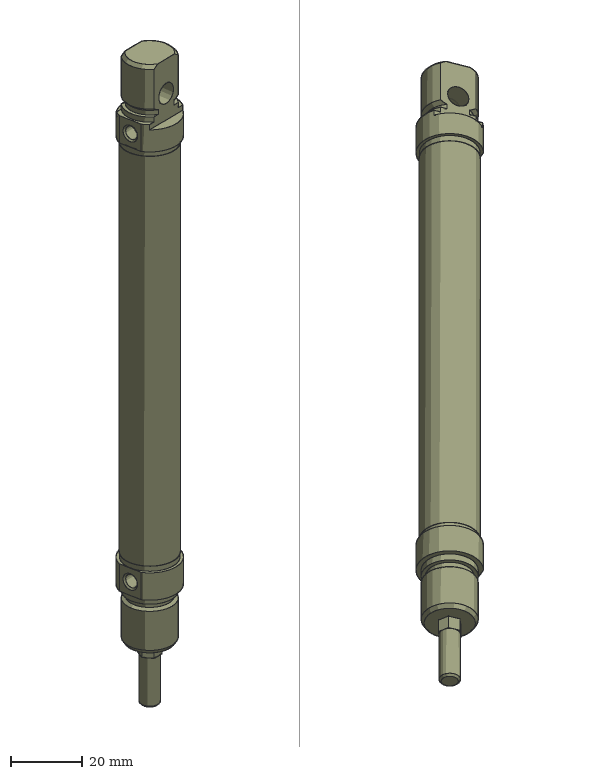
import cadquery as cq
import math

HEX_START = 16.0
NOSE_BOTTOM = 20.0
GROOVE_BOTTOM = 33.9
GROOVE_TOP = 36.2
FRONT_COLLAR_BOTTOM = 38.2
COLLAR_HEIGHT = 8.8
BARREL_BOTTOM = 48.7
BARREL_TOP = 180.4
REAR_COLLAR_BOTTOM = 182.2
NECK_BOTTOM = 192.7
NECK_TOP = 194.2
TOTAL_LENGTH = 209.0

FRONT_COLLAR_TOP = FRONT_COLLAR_BOTTOM + COLLAR_HEIGHT
REAR_COLLAR_TOP = REAR_COLLAR_BOTTOM + COLLAR_HEIGHT

COLLAR_RADIUS = 19.0 / 2
BARREL_RADIUS = 17.3 / 2
SHOULDER_RADIUS = 17.1 / 2
STEM_RADIUS = 16.0 / 2
UNDERCUT_RADIUS = 13.8 / 2
LUG_CHAMFER = 1.0
GROOVE_CONE_HEIGHT = 0.6
NOSE_CHAMFER_WIDTH = 0.8
NOSE_CHAMFER_HEIGHT = 1.3

ROD_DIAMETER = 6.0
ROD_CHAMFER = 0.6

COLLAR_DEPTH = 18.2
PORT_FLAT_Y = COLLAR_RADIUS - COLLAR_DEPTH
PORT_DIAMETER = 4.2
PORT_RIM_DIAMETER = 5.2
REAR_PORT_DEPTH = 4.2
FRONT_PORT_DEPTH = -PORT_FLAT_Y
DRILL_POINT_ANGLE = 118

LUG_WIDTH = 12.0
LUG_FLAT_BOTTOM = 189.4
LUG_HOLE_DIAMETER = 6.5
LUG_HOLE_Z = 198.0


def revolve_profile(points):
    """Turn (radius, z) points into a solid of revolution about Z."""
    return cq.Workplane("XZ").polyline(points).close().revolve(360, (0, 0), (0, 1))


def hex_bar(bottom, top):
    """Hexagonal bar along Z with corners on the Y axis."""
    corner_diameter = ROD_DIAMETER / math.cos(math.pi / 6)
    return (
        cq.Workplane("XY", origin=(0, 0, bottom))
        .transformed(rotate=(0, 0, 90))
        .polygon(6, corner_diameter)
        .extrude(top - bottom)
    )


def port_flat_cutter(bottom):
    """Block that removes the -Y edge of a collar and leaves the port flat."""
    return cq.Workplane("XY").box(
        2 * COLLAR_RADIUS, COLLAR_RADIUS, COLLAR_HEIGHT, centered=(True, False, False)
    ).translate((0, PORT_FLAT_Y - COLLAR_RADIUS, bottom))


def port_cutter(bottom, depth):
    """Countersunk drill hole with a pointed end, at mid-height of a collar."""
    radius = PORT_DIAMETER / 2
    rim_radius = PORT_RIM_DIAMETER / 2
    point_length = radius / math.tan(math.radians(DRILL_POINT_ANGLE / 2))
    drill = revolve_profile([
        (0, 0),
        (rim_radius, 0),
        (radius, rim_radius - radius),
        (radius, depth),
        (0, depth + point_length),
    ])
    return drill.rotate((0, 0, 0), (1, 0, 0), -90).translate(
        (0, PORT_FLAT_Y, bottom + COLLAR_HEIGHT / 2)
    )


def make_piston_rod():
    tip = (
        cq.Workplane("XY")
        .circle(ROD_DIAMETER / 2)
        .extrude(HEX_START)
        .faces("<Z")
        .chamfer(ROD_CHAMFER)
    )
    return tip.union(hex_bar(HEX_START, BARREL_BOTTOM))


def make_front_cap():
    cap = revolve_profile([
        (0, NOSE_BOTTOM),
        (STEM_RADIUS - NOSE_CHAMFER_WIDTH, NOSE_BOTTOM),
        (STEM_RADIUS, NOSE_BOTTOM + NOSE_CHAMFER_HEIGHT),
        (STEM_RADIUS, GROOVE_BOTTOM),
        (UNDERCUT_RADIUS, GROOVE_BOTTOM + GROOVE_CONE_HEIGHT),
        (UNDERCUT_RADIUS, GROOVE_TOP),
        (STEM_RADIUS, GROOVE_TOP),
        (STEM_RADIUS, FRONT_COLLAR_BOTTOM),
        (COLLAR_RADIUS, FRONT_COLLAR_BOTTOM),
        (COLLAR_RADIUS, FRONT_COLLAR_TOP),
        (SHOULDER_RADIUS, FRONT_COLLAR_TOP),
        (SHOULDER_RADIUS, BARREL_BOTTOM),
        (0, BARREL_BOTTOM),
    ])
    cap = cap.cut(port_flat_cutter(FRONT_COLLAR_BOTTOM))
    cap = cap.cut(port_cutter(FRONT_COLLAR_BOTTOM, FRONT_PORT_DEPTH))
    return cap.cut(hex_bar(NOSE_BOTTOM, BARREL_BOTTOM))


def make_barrel():
    return (
        cq.Workplane("XY", origin=(0, 0, BARREL_BOTTOM))
        .circle(BARREL_RADIUS)
        .extrude(BARREL_TOP - BARREL_BOTTOM)
    )


def make_rear_cap():
    cap = revolve_profile([
        (0, BARREL_TOP),
        (SHOULDER_RADIUS, BARREL_TOP),
        (SHOULDER_RADIUS, REAR_COLLAR_BOTTOM),
        (COLLAR_RADIUS, REAR_COLLAR_BOTTOM),
        (COLLAR_RADIUS, REAR_COLLAR_TOP),
        (STEM_RADIUS, REAR_COLLAR_TOP),
        (STEM_RADIUS, NECK_BOTTOM),
        (UNDERCUT_RADIUS, NECK_BOTTOM),
        (UNDERCUT_RADIUS, NECK_TOP),
        (STEM_RADIUS, NECK_TOP + LUG_CHAMFER),
        (STEM_RADIUS, TOTAL_LENGTH - LUG_CHAMFER),
        (STEM_RADIUS - LUG_CHAMFER, TOTAL_LENGTH),
        (0, TOTAL_LENGTH),
    ])
    cap = cap.cut(port_flat_cutter(REAR_COLLAR_BOTTOM))
    cap = cap.cut(port_cutter(REAR_COLLAR_BOTTOM, REAR_PORT_DEPTH))

    flat_height = TOTAL_LENGTH - LUG_FLAT_BOTTOM
    for side in (-1, 1):
        flat_cutter = cq.Workplane("XY").box(
            COLLAR_RADIUS, 2 * COLLAR_RADIUS, flat_height, centered=(True, True, False)
        ).translate((side * (LUG_WIDTH + COLLAR_RADIUS) / 2, 0, LUG_FLAT_BOTTOM))
        cap = cap.cut(flat_cutter)

    pin_hole = (
        cq.Workplane("YZ")
        .center(0, LUG_HOLE_Z)
        .circle(LUG_HOLE_DIAMETER / 2)
        .extrude(LUG_WIDTH, both=True)
    )
    return cap.cut(pin_hole)


piston_rod = make_piston_rod()
front_cap = make_front_cap()
barrel = make_barrel()
rear_cap = make_rear_cap()

result = cq.Compound.makeCompound([
    piston_rod.val(),
    front_cap.val(),
    barrel.val(),
    rear_cap.val(),
])